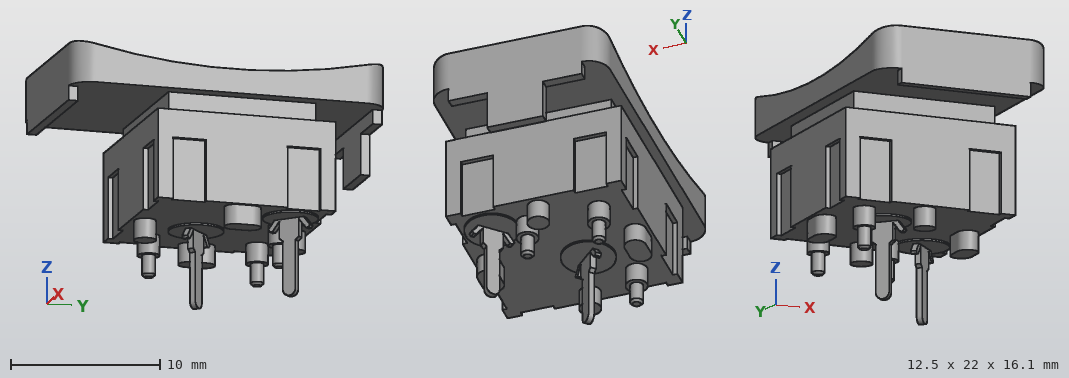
import cadquery as cq


housing_width = 12.45
housing_height = 6.18
recess_outer = 5.17
recess_inner = 2.85
recess_width = recess_outer - recess_inner
recess_height = 4.25
recess_depth = 0.33

plunger_width = 2 * recess_outer
cap_base_z = 7.65

cap_width = housing_width
cap_length = 22.0
cap_offset_y = -1.05
cap_corner_radius = 1.5
cap_edge_radius = 0.18
cap_middle_height = 1.7
cap_end_height = 3.05

lip_width = cap_width - 2 * cap_corner_radius
lip_thickness = 0.65
lip_bottom_z = 6.67
long_lip_width = 3.95
long_lip_bottom_z = 3.83

outer_place = 3.8
inner_place = outer_place / 3
pad_diameter = 1.5
pad_height = 1.35
edge_pad_offset = 5.24
slot_pad_length = 2.53
pin_diameter = 0.9
pin_length = 2.84
pin_chamfer = 0.18
pin_positions = [(-outer_place, -outer_place), (-outer_place, outer_place), (inner_place, outer_place)]

blade_thickness = 0.42
blade_width = 0.97
shoulder_width = 1.5
shoulder_bottom_z = -1.45
blade_top_z = -1.67
blade_tip_z = -5.45
blade_tip_radius = 0.46
barb_points = [(1.01, 0), (1.58, -0.75), (1.45, -0.9), (1.25, -0.9), (shoulder_width / 2, -0.26)]
collar_diameter = 3.75
collar_height = 0.13
terminals = [((outer_place, outer_place), 45), ((-inner_place, -inner_place), -45)]


def box(width, length, bottom_z, top_z, x=0.0, y=0.0):
    """Upright block centred on (x, y)."""
    block = cq.Workplane("XY").box(width, length, top_z - bottom_z, centered=(True, True, False))
    return block.translate((x, y, bottom_z))


def make_housing():
    housing = box(housing_width, housing_width, 0, housing_height)
    recess_middle = (recess_outer + recess_inner) / 2
    half = housing_width / 2
    for side in (-1, 1):
        for place in (-recess_middle, recess_middle):
            housing = housing.cut(
                box(2 * recess_depth, recess_width, 0, recess_height, side * half, place)
            )
            housing = housing.cut(
                box(recess_width, 2 * recess_depth, 0, recess_height, place, side * half)
            )
    return housing


def make_cap():
    half_length = cap_length / 2
    side_profile = (
        cq.Workplane("YZ")
        .moveTo(-half_length, 0)
        .lineTo(half_length, 0)
        .lineTo(half_length, cap_end_height)
        .threePointArc((0, cap_middle_height), (-half_length, cap_end_height))
        .close()
        .extrude(cap_width / 2, both=True)
    )
    cap = side_profile.edges("|Z").fillet(cap_corner_radius)
    dished_top = cq.selectors.NearestToPointSelector((0, 0, cap_middle_height))
    cap = cap.faces(dished_top).edges().fillet(cap_edge_radius)
    return cap.translate((0, cap_offset_y, cap_base_z))


def make_lips():
    reach = (cap_length - lip_thickness) / 2
    front_y = cap_offset_y - reach
    rear_y = cap_offset_y + reach
    top_z = cap_base_z + cap_middle_height / 2
    front_lip = box(lip_width, lip_thickness, lip_bottom_z, top_z, y=front_y)
    rear_lip = box(lip_width, lip_thickness, lip_bottom_z, top_z, y=rear_y)
    long_lip = box(long_lip_width, lip_thickness, long_lip_bottom_z, top_z, y=rear_y)
    return front_lip.union(rear_lip).union(long_lip)


def make_pads():
    round_pads = [(0, -edge_pad_offset), (0, edge_pad_offset)] + pin_positions
    pads = cq.Workplane("XY").pushPoints(round_pads).circle(pad_diameter / 2).extrude(-pad_height)
    slot_pads = (
        cq.Workplane("XY")
        .pushPoints([(-edge_pad_offset, 0), (edge_pad_offset, 0)])
        .slot2D(slot_pad_length, pad_diameter, 90)
        .extrude(-pad_height)
    )
    return pads.union(slot_pads)


def make_pin(position):
    pin = cq.Workplane("XY").circle(pin_diameter / 2).extrude(-pin_length)
    return pin.faces("<Z").chamfer(pin_chamfer).translate((*position, 0))


def make_terminal(position, angle):
    right_side = barb_points + [
        (shoulder_width / 2, shoulder_bottom_z),
        (blade_width / 2, blade_top_z),
        (blade_width / 2, blade_tip_z),
    ]
    left_side = [(-x, z) for x, z in reversed(right_side)]
    blade = cq.Workplane("XZ").polyline(right_side + left_side).close()
    blade = blade.extrude(blade_thickness / 2, both=True)
    blade = blade.faces("<Z").edges("|Y").fillet(blade_tip_radius)
    collar = cq.Workplane("XY").circle(collar_diameter / 2).extrude(-collar_height)
    terminal = blade.union(collar).rotate((0, 0, 0), (0, 0, 1), angle)
    return terminal.translate((*position, 0))


result = make_housing()
result = result.union(box(plunger_width, plunger_width, housing_height, cap_base_z))
result = result.union(make_cap()).union(make_lips()).union(make_pads())
for pin_position in pin_positions:
    result = result.union(make_pin(pin_position))
for terminal_position, terminal_angle in terminals:
    result = result.union(make_terminal(terminal_position, terminal_angle))